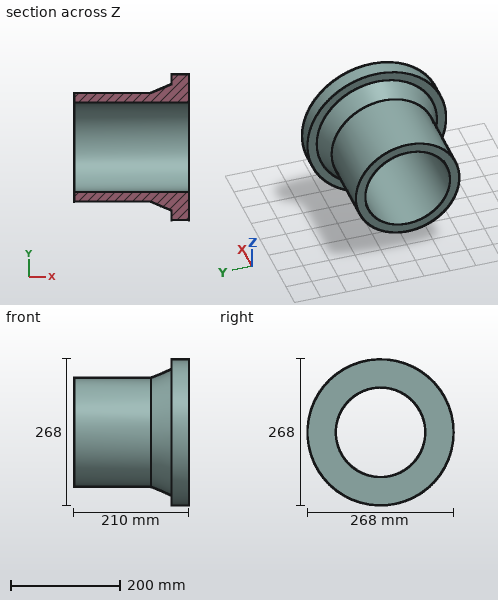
import cadquery as cq

total_length = 210.0
flange_diameter = 268.0
flange_thickness = 32.2
pipe_diameter = 200.0
bore_diameter = 163.5
neck_length = 37.8
neck_end_diameter = 232.0

pipe_end_x = -total_length / 2
flange_back_x = total_length / 2
flange_front_x = flange_back_x - flange_thickness
neck_start_x = flange_front_x - neck_length

bore_radius = bore_diameter / 2
pipe_radius = pipe_diameter / 2
neck_end_radius = neck_end_diameter / 2
flange_radius = flange_diameter / 2

half_section = (
    cq.Workplane("XY")
    .moveTo(pipe_end_x, bore_radius)
    .lineTo(pipe_end_x, pipe_radius)
    .lineTo(neck_start_x, pipe_radius)
    .lineTo(flange_front_x, neck_end_radius)
    .lineTo(flange_front_x, flange_radius)
    .lineTo(flange_back_x, flange_radius)
    .lineTo(flange_back_x, bore_radius)
    .close()
)

result = half_section.revolve(360, (0, 0, 0), (1, 0, 0))